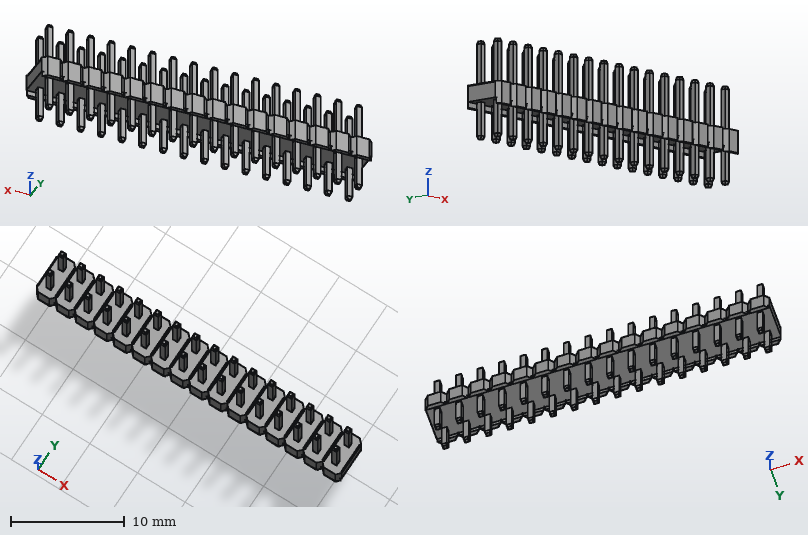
import cadquery as cq
import math

pitch = 2.0
column_count = 16
row_count = 2

body_length = column_count * pitch
body_width = row_count * pitch
body_height = 2.0
corner_chamfer = 0.4

groove_depth = 0.1
groove_width = 2 * groove_depth
groove_top_length = 3.0
groove_bottom_length = groove_top_length - 2 * groove_depth

foot_width = 0.35
channel_width = body_width - 2 * foot_width
channel_height = 0.5

pin_width = 0.5
tip_width = 0.3
tip_angle = 20.0
tip_length = (pin_width - tip_width) / 2 / math.tan(math.radians(tip_angle))
pin_length_above = 4.0
pin_length_below = 2.8


def centered_positions(count):
    """Pitch positions spread evenly about zero."""
    return [(index - (count - 1) / 2) * pitch for index in range(count)]


def make_cell():
    """One octagonal cell of the body, centred on the Z axis."""
    return (
        cq.Workplane("XY")
        .box(pitch, body_width, body_height, centered=(True, True, False))
        .edges("|Z")
        .chamfer(corner_chamfer)
    )


def make_groove():
    """Cutter for one groove: a V section along Y, trimmed to sloping ends."""
    bottom = body_height - groove_depth
    v_section = (
        cq.Workplane("XZ")
        .polyline([(-groove_width / 2, body_height), (groove_width / 2, body_height), (0, bottom)])
        .close()
        .extrude(groove_top_length / 2, both=True)
    )
    side_outline = (
        cq.Workplane("YZ")
        .polyline(
            [
                (-groove_top_length / 2, body_height),
                (groove_top_length / 2, body_height),
                (groove_bottom_length / 2, bottom),
                (-groove_bottom_length / 2, bottom),
            ]
        )
        .close()
        .extrude(groove_width / 2, both=True)
    )
    return v_section.intersect(side_outline)


def make_body():
    """Row of joined cells, grooved on top and channelled underneath."""
    cell = make_cell()
    body = cq.Workplane("XY")
    for x in centered_positions(column_count):
        body = body.union(cell.translate((x, 0, 0)))

    groove = make_groove()
    for x in centered_positions(column_count + 1):
        body = body.cut(groove.translate((x, 0, 0)))

    channel = cq.Workplane("XY").box(
        body_length, channel_width, channel_height, centered=(True, True, False)
    )
    return body.cut(channel)


def make_pin():
    """Square pin on the Z axis, tapering to a small flat at both ends."""
    shank_bottom = tip_length - pin_length_below
    shank_top = body_height + pin_length_above - tip_length
    pin = (
        cq.Workplane("XY")
        .workplane(offset=shank_bottom)
        .rect(pin_width, pin_width)
        .extrude(shank_top - shank_bottom)
    )
    for shank_end, direction in ((shank_bottom, -1), (shank_top, 1)):
        tip = (
            cq.Workplane("XY")
            .workplane(offset=shank_end)
            .rect(pin_width, pin_width)
            .workplane(offset=direction * tip_length)
            .rect(tip_width, tip_width)
            .loft(ruled=True)
        )
        pin = pin.union(tip)
    return pin


def add_pins(body):
    """Set one pin at every column and row position of the body."""
    pin = make_pin()
    for x in centered_positions(column_count):
        for y in centered_positions(row_count):
            body = body.union(pin.translate((x, y, 0)))
    return body


result = add_pins(make_body())